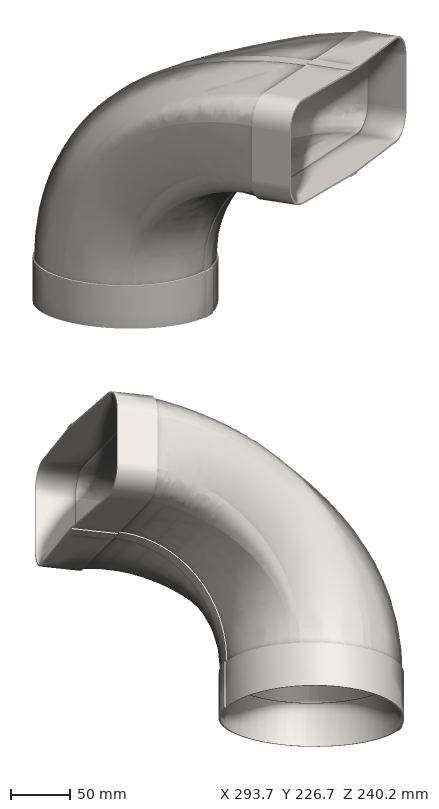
import cadquery as cq
import math


overall_length = 293.7
overall_width = 226.7
overall_height = 240.2

wall = 1.8
collar_step = 1.5
strip_width = 13.0
strip_height = 1.0

round_collar_radius = 78.5
round_collar_height = 41.0
round_end_rise = 3.2

flat_collar_height = 93.7
flat_collar_corner = 23.0
flat_collar_length = 40.8
flat_end_setback = 5.5

flat_end_x = overall_length - round_collar_radius - strip_height
flat_start_x = flat_end_x - flat_collar_length
flat_top_z = overall_height - round_collar_height - strip_height
flat_centre_z = flat_top_z - flat_collar_height / 2
half_width = overall_width / 2
beyond = 2 * overall_length

section_count = 9
outer_fullness = 0.61
inner_fullness = 0.56
upper_corner_angle = 20.0
lower_corner_angle = -28.0
corner_half_angle = 3.0
lower_squareness = 2.0


def bend_curve(start_x, end_z, fullness, t):
    """Quarter bend leaving (start_x, 0) upwards and reaching the flat collar along +X."""
    across = 3 * (1 - t) * t**2 * (1 - fullness) + t**3
    up = 3 * (1 - t) ** 2 * t * fullness + 3 * (1 - t) * t**2 + t**3
    return start_x + (flat_start_x - start_x) * across, end_z * up


def round_outline():
    """Vertices and arc midpoints of the unit circle, matched to the flat outline."""
    corners = [
        upper_corner_angle,
        180 - upper_corner_angle,
        180 - lower_corner_angle,
        360 + lower_corner_angle,
    ]
    ends = []
    for corner in corners:
        ends += [corner - corner_half_angle, corner + corner_half_angle]
    angles = []
    for start, end in zip(ends, ends[1:] + [ends[0] + 360]):
        angles += [start, (start + end) / 2]
    return [(math.cos(math.radians(a)), math.sin(math.radians(a))) for a in angles]


def flat_outline(half_w, half_h, corner):
    """Vertices and midpoints of a rounded rectangle, scaled to a half height of one."""
    points = []
    centres = [(1, 1, 0), (-1, 1, 90), (-1, -1, 180), (1, -1, 270)]
    middles = [(0, half_h), (-half_w, 0), (0, -half_h), (half_w, 0)]
    for (side_y, side_v, first_angle), middle in zip(centres, middles):
        for angle in (first_angle, first_angle + 45, first_angle + 90):
            a = math.radians(angle)
            points.append(
                (
                    side_y * (half_w - corner) + corner * math.cos(a),
                    side_v * (half_h - corner) + corner * math.sin(a),
                )
            )
        points.append(middle)
    return [(y, v / half_h) for y, v in points]


def section_wire(t, offset):
    """Cross-section of the elbow at t = 0 (round mouth) to t = 1 (flat mouth)."""
    radius = round_collar_radius - collar_step + offset
    half_h = flat_collar_height / 2 - collar_step + offset
    half_w = half_width - collar_step + offset
    corner = flat_collar_corner - collar_step + offset
    outer_x, outer_z = bend_curve(-radius, flat_centre_z + half_h, outer_fullness, t)
    inner_x, inner_z = bend_curve(radius, flat_centre_z - half_h, inner_fullness, t)
    middle_x = (outer_x + inner_x) / 2
    middle_z = (outer_z + inner_z) / 2
    blend = middle_x / flat_start_x
    points = []
    for (round_y, round_v), (flat_y, flat_v) in zip(round_outline(), flat_outline(half_w, half_h, corner)):
        y = radius * round_y * (1 - blend) + flat_y * blend
        v_blend = blend if round_v > 0 else 1 - (1 - blend) ** lower_squareness
        v = round_v * (1 - v_blend) + flat_v * v_blend
        x = middle_x + v * (outer_x - middle_x)
        z = middle_z + v * (outer_z - middle_z)
        points.append(cq.Vector(x, y, z))
    edges = []
    for i in range(0, len(points), 2):
        start, middle, end = points[i], points[i + 1], points[(i + 2) % len(points)]
        is_flat_side = t == 1 and i % 4 == 2
        if is_flat_side:
            edges.append(cq.Edge.makeLine(start, end))
        else:
            edges.append(cq.Edge.makeThreePointArc(start, middle, end))
    return cq.Wire.assembleEdges(edges)


def elbow(offset):
    wires = [section_wire(i / (section_count - 1), offset) for i in range(section_count)]
    return cq.Workplane(cq.Solid.makeLoft(wires))


def round_collar(offset):
    return cq.Workplane("XY").circle(round_collar_radius + offset).extrude(-round_collar_height)


def flat_collar(offset):
    return (
        cq.Workplane("YZ", origin=(flat_start_x, 0, flat_centre_z))
        .rect(overall_width + 2 * offset, flat_collar_height + 2 * offset)
        .extrude(flat_collar_length)
        .edges("|X")
        .fillet(flat_collar_corner + offset)
    )


def duct(offset):
    """The whole duct as a solid, its surface moved outwards by the offset."""
    return round_collar(offset).union(elbow(offset)).union(flat_collar(offset))


def end_limit():
    """Space inside both collar ends, which are pointed at the middle plane."""
    strip_edge = strip_width / 2
    flat_side_x = flat_end_x - flat_end_setback
    round_side_z = round_end_rise - round_collar_height
    flat_limit = (
        cq.Workplane("XY")
        .moveTo(-beyond, -half_width)
        .lineTo(flat_side_x, -half_width)
        .lineTo(flat_end_x, -strip_edge)
        .lineTo(flat_end_x, strip_edge)
        .lineTo(flat_side_x, half_width)
        .lineTo(-beyond, half_width)
        .close()
        .extrude(beyond, both=True)
    )
    round_limit = (
        cq.Workplane("YZ")
        .moveTo(-half_width, beyond)
        .lineTo(-half_width, round_side_z)
        .lineTo(-round_collar_radius, round_side_z)
        .lineTo(-strip_edge, -round_collar_height)
        .lineTo(strip_edge, -round_collar_height)
        .lineTo(round_collar_radius, round_side_z)
        .lineTo(half_width, round_side_z)
        .lineTo(half_width, beyond)
        .close()
        .extrude(beyond, both=True)
    )
    return flat_limit.intersect(round_limit)


middle_slab = cq.Workplane("XY").box(beyond, strip_width, beyond)
strip = duct(strip_height).intersect(middle_slab)
result = duct(0).union(strip).cut(duct(-wall)).intersect(end_limit())